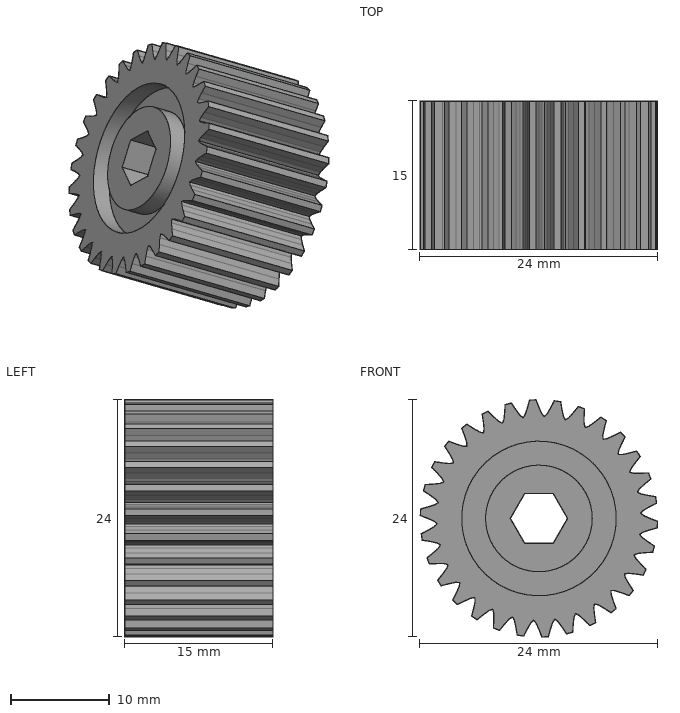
import cadquery as cq
import math

outer_size = 24.0
face_width = 15.0
tooth_count = 30
first_gap_angle = 3.0

dedendum_factor = 1.25
module = outer_size / (tooth_count + 2)
pitch_radius = module * tooth_count / 2
root_radius = pitch_radius - dedendum_factor * module
pitch_angle = 360.0 / tooth_count
tip_gap_half_angle = 4.4

root_bend_radius = 10.6
root_bend_half_width = 0.26

hub_diameter = 10.77
groove_diameter = 15.62
groove_depth = 2.0
hex_across_flats = 5.0
hex_sides = 6

nearest_corner_angle = tip_gap_half_angle - first_gap_angle
tip_radius = outer_size / 2 / math.cos(math.radians(nearest_corner_angle))


def polar_point(radius, angle):
    """Point at a radius and an angle in degrees from +X toward +Z."""
    turn = math.radians(angle)
    return (radius * math.cos(turn), radius * math.sin(turn))


def gap_points(middle_angle):
    """Outline of one tooth gap, from tip corner to tip corner, with two-facet flanks."""
    pitch_half_angle = pitch_angle / 4
    root_bend_half_angle = math.degrees(root_bend_half_width / root_bend_radius)
    return [
        polar_point(tip_radius, middle_angle - tip_gap_half_angle),
        polar_point(pitch_radius, middle_angle - pitch_half_angle),
        polar_point(root_bend_radius, middle_angle - root_bend_half_angle),
        polar_point(root_radius, middle_angle),
        polar_point(root_bend_radius, middle_angle + root_bend_half_angle),
        polar_point(pitch_radius, middle_angle + pitch_half_angle),
        polar_point(tip_radius, middle_angle + tip_gap_half_angle),
    ]


def front_sketch_plane():
    """Sketch plane on the front face; positive extrusions run toward -Y."""
    return cq.Workplane("XZ")


def toothed_body():
    outline = []
    for index in range(tooth_count):
        outline += gap_points(first_gap_angle + index * pitch_angle)
    return front_sketch_plane().polyline(outline).close().extrude(-face_width)


def hub_groove():
    """Ring-shaped recess that leaves the hub flush with the front face."""
    ring = front_sketch_plane().circle(groove_diameter / 2).circle(hub_diameter / 2)
    return ring.extrude(-groove_depth)


def hex_bore():
    """Hexagonal through bore with two corners on the X axis."""
    across_corners = hex_across_flats / math.cos(math.pi / hex_sides)
    return front_sketch_plane().polygon(hex_sides, across_corners).extrude(-face_width)


result = toothed_body().cut(hub_groove()).cut(hex_bore())